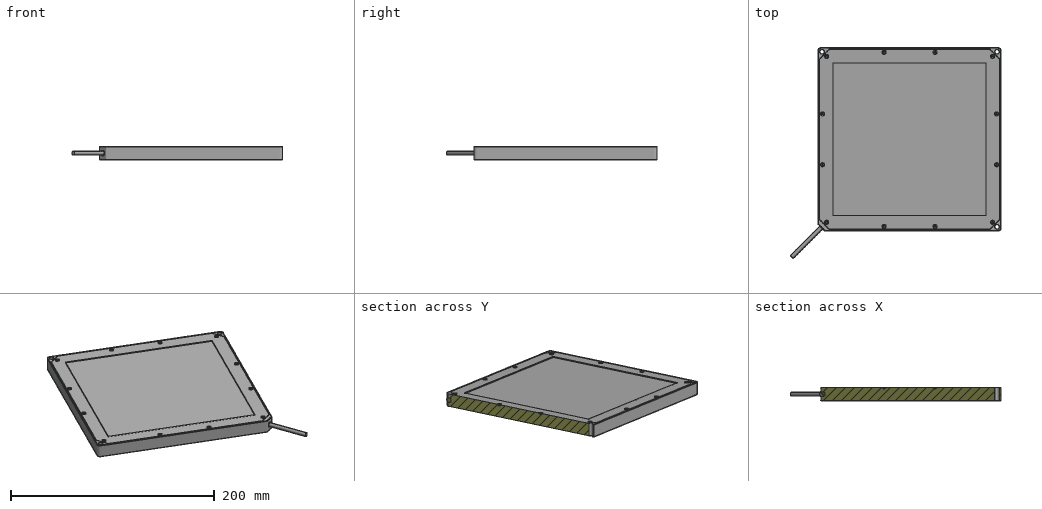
import cadquery as cq
import math

side = 180.0
height = 13.1
half = side / 2
corner_radius = 3.0
cable_corner_leg = 6.7
cable_corner_radius = 0.8
rim_chamfer = 0.5

cover_inset = 1.4
cover_corner_leg = 9.7
groove_width = 0.25
groove_depth = 0.1
cover_side = side - 2 * cover_inset

window_side = 150.0
window_depth = 1.0

screw_head_diameter = 4.0
screw_recess_depth = 0.5
screw_socket_width = 1.7
screw_socket_depth = 1.0
corner_screw_inset = 8.5
edge_screw_inset = 4.5
edge_screw_pitch = 50.0

mount_hole_diameter = 4.3
mount_hole_inset = 4.0

cable_diameter = 4.0
cable_reach = 27.12
cable_seat_depth = 5.0
collar_diameter = 5.2
collar_length = 0.2


def make_blank():
    """Plate with three rounded corners, one cut corner and chamfered rims."""
    blank = cq.Workplane("XY").box(side, side, height, centered=(True, True, False))
    blank = blank.edges("|Z").edges(">X or >Y").fillet(corner_radius)
    blank = blank.edges("|Z").edges("<(1,1,0)").chamfer(cable_corner_leg)
    cut_zone = 2 * cable_corner_leg
    cut_ends = cq.selectors.BoxSelector(
        (-half - cut_zone, -half - cut_zone, 0),
        (-half + cut_zone, -half + cut_zone, height),
    )
    blank = blank.edges("|Z").edges(cut_ends).fillet(cable_corner_radius)
    return blank.faces("<Z or >Z").edges().chamfer(rim_chamfer)


def make_cover_outline(inset):
    """Octagonal slab as thick as the groove is deep, moved inward by the inset."""
    width = cover_side - 2 * inset
    leg = cover_corner_leg - inset * (2 - math.sqrt(2))
    slab = cq.Workplane("XY", origin=(0, 0, height - groove_depth)).rect(width, width).extrude(groove_depth)
    return slab.edges("|Z").chamfer(leg)


def make_groove():
    """Ring between the cover outline and the same outline moved inward."""
    return make_cover_outline(0).cut(make_cover_outline(groove_width))


def screw_points():
    """One screw in each corner and two along each edge."""
    corner = half - corner_screw_inset
    edge = half - edge_screw_inset
    offset = edge_screw_pitch / 2
    points = []
    for a in (-1, 1):
        for b in (-1, 1):
            points.append((a * corner, b * corner))
            points.append((a * edge, b * offset))
            points.append((a * offset, b * edge))
    return points


def place_on_diagonal(depth):
    """Plane square to the cable, this deep behind the cut face, pointing outward."""
    toward_corner = -half + cable_corner_leg / 2 + depth / math.sqrt(2)
    return cq.Plane(
        origin=(toward_corner, toward_corner, height / 2),
        xDir=(0, 0, 1),
        normal=(-1, -1, 0),
    )


def make_housing():
    """Plate with cover groove, window, screws, mounting holes and a collared cable seat."""
    body = make_blank().cut(make_groove())
    body = body.cut(
        cq.Workplane("XY", origin=(0, 0, height - window_depth))
        .rect(window_side, window_side)
        .extrude(window_depth)
    )
    for x, y in screw_points():
        top = cq.Workplane("XY", origin=(x, y, height))
        body = body.cut(top.circle(screw_head_diameter / 2).extrude(-screw_recess_depth))
        body = body.cut(top.polygon(6, screw_socket_width).extrude(-screw_recess_depth - screw_socket_depth))
    mount = half - mount_hole_inset
    for x, y in ((-mount, mount), (mount, mount), (mount, -mount)):
        body = body.cut(cq.Workplane("XY", origin=(x, y, 0)).circle(mount_hole_diameter / 2).extrude(height))
    seat_length = cable_seat_depth + collar_length
    seat = cq.Workplane(place_on_diagonal(cable_seat_depth)).circle(cable_diameter / 2).extrude(seat_length)
    collar = cq.Workplane(place_on_diagonal(0)).circle(collar_diameter / 2).extrude(collar_length)
    return body.union(collar).cut(seat)


def make_cable():
    """Round cable, its tip placed so that its rim just spans the overhang."""
    tip = cable_reach - cable_diameter / 2 / math.sqrt(2)
    length = (tip + cable_corner_leg / 2) * math.sqrt(2) + cable_seat_depth
    return cq.Workplane(place_on_diagonal(cable_seat_depth)).circle(cable_diameter / 2).extrude(length)


housing = make_housing()
cable = make_cable()

result = cq.Compound.makeCompound([housing.val(), cable.val()])